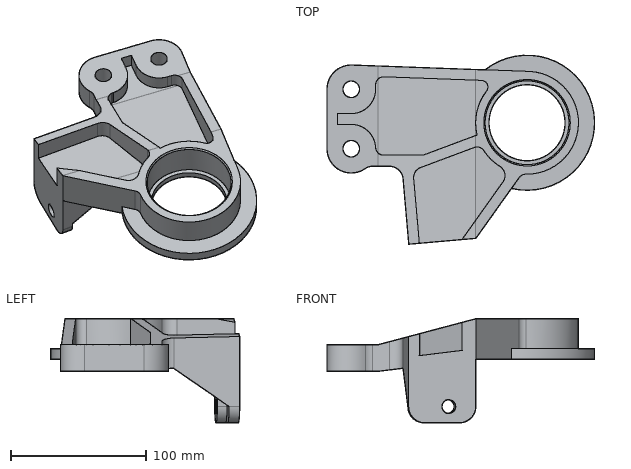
import cadquery as cq
import math

RING_TOP = 30.0
FLANGE_HEIGHT = 8.0
PAD_TOP = 10.9
PAD_BOTTOM = -9.0
LUG_BOTTOM = -47.0
WALL = 8.0

FLANGE_RADIUS = 100.0 / 2
RING_RADIUS = 38.0
BORE_DIAMETER = 62.0
LIP_DIAMETER = 56.0
LIP_HEIGHT = 5.0
BORE_CHAMFER = 1.0

PAD_RADIUS = 18.0
OVERALL_LENGTH = 198.0
PAD_X = FLANGE_RADIUS - OVERALL_LENGTH + PAD_RADIUS
UPPER_BOLT_Y = 24.7
LOWER_BOLT_Y = -19.2
BOLT_DIAMETER = 12.0
SLOT_LEFT = -140.1

SLOPE_START = -110.3
SLOPE_END = -38.0
ARM_BOTTOM_Y = -32.3
RIB_BEND = (-76.8, -24.0)
RIB_ANGLE = 20.5
BRACE_ANGLE = 54.6
PAD_BLEND = 9.0
LUG_BLEND = 9.9
POCKET_RADIUS = 6.0
LUG_POCKET_RADIUS = 8.0
RING_CORNER_RADIUS = 5.0

LUG_ANGLE = 5.0
LUG_CORNER = (-87.5, -89.9)
LUG_WIDTH = 49.9
LUG_THICKNESS = WALL
LUG_RADIUS = 12.0
LUG_AXIS_Z = LUG_BOTTOM + LUG_RADIUS
LUG_HOLE_DIAMETER = 10.0
LUG_HOLE_U = 29.9
BOSS_DEPTH = 15.0
GUSSET_ANGLE = 34.5

FAR = 198.0


def direction(angle):
    return (math.cos(math.radians(angle)), math.sin(math.radians(angle)))


def along(point, angle, distance):
    dx, dy = direction(angle)
    return (point[0] + distance * dx, point[1] + distance * dy)


def meet(p, p_angle, q, q_angle):
    """Crossing point of two lines, each given by a point and an angle."""
    px, py = direction(p_angle)
    qx, qy = direction(q_angle)
    distance = ((q[0] - p[0]) * qy - (q[1] - p[1]) * qx) / (px * qy - py * qx)
    return along(p, p_angle, distance)


def column(points):
    """Tall prism over a plan outline."""
    return cq.Workplane("XY").workplane(offset=-FAR / 2).polyline(points).close().extrude(FAR)


def post(x, y, radius):
    """Tall cylinder."""
    return cq.Workplane("XY").workplane(offset=-FAR / 2).center(x, y).circle(radius).extrude(FAR)


def round_corner(body, point, radius):
    """Fillet the vertical edge nearest to a plan point."""
    edge = cq.selectors.NearestToPointSelector((point[0], point[1], 0))
    return body.edges("|Z").edges(edge).fillet(radius)


def arm_band(lower, upper):
    """Band along the arm, from (pad z, ring z) below to (pad z, ring z) above."""
    points = [
        (-FAR, lower[0]), (SLOPE_START, lower[0]), (SLOPE_END, lower[1]), (FAR, lower[1]),
        (FAR, upper[1]), (SLOPE_END, upper[1]), (SLOPE_START, upper[0]), (-FAR, upper[0]),
    ]
    return cq.Workplane("XZ").polyline(points).close().extrude(FAR, both=True)


centre_distance = math.hypot(PAD_X, UPPER_BOLT_Y)
top_angle = math.degrees(
    math.asin((RING_RADIUS - PAD_RADIUS) / centre_distance) - math.atan2(UPPER_BOLT_Y, -PAD_X)
)
top_normal = top_angle + 90
top_left = along((PAD_X, UPPER_BOLT_Y), top_normal, PAD_RADIUS)
top_right = along((0, 0), top_normal, RING_RADIUS)

side_angle = LUG_ANGLE + 90
lug_right = along(LUG_CORNER, LUG_ANGLE, LUG_WIDTH)
lug_root = meet(LUG_CORNER, side_angle, (0, ARM_BOTTOM_Y), 0)
brace_reach = lug_right[0] * direction(BRACE_ANGLE)[0] + lug_right[1] * direction(BRACE_ANGLE)[1]
brace_foot = along(lug_right, BRACE_ANGLE, -brace_reach)
brace_offset = math.hypot(*brace_foot)
brace_end = along(brace_foot, BRACE_ANGLE, -math.sqrt(RING_RADIUS**2 - brace_offset**2))
pad_side = ARM_BOTTOM_Y - LOWER_BOLT_Y
pad_end = (PAD_X + math.sqrt(PAD_RADIUS**2 - pad_side**2), ARM_BOTTOM_Y)


def make_outline():
    body = column([
        top_left, top_right, (0, 0), brace_foot, lug_right, LUG_CORNER, lug_root,
        (PAD_X, ARM_BOTTOM_Y),
    ])
    pad_left = PAD_X - PAD_RADIUS
    body = body.union(column([
        (pad_left, LOWER_BOLT_Y), (pad_left, UPPER_BOLT_Y),
        (SLOPE_START, UPPER_BOLT_Y), (SLOPE_START, LOWER_BOLT_Y),
    ]))
    body = body.union(post(PAD_X, UPPER_BOLT_Y, PAD_RADIUS))
    body = body.union(post(PAD_X, LOWER_BOLT_Y, PAD_RADIUS))
    body = body.union(post(0, 0, RING_RADIUS))
    body = round_corner(body, pad_end, PAD_BLEND)
    body = round_corner(body, lug_root, LUG_BLEND)
    return round_corner(body, brace_end, POCKET_RADIUS)


def make_arm_pocket():
    """Pocket beside the pad, with a narrow slot between the two bolt bosses."""
    left = PAD_X + PAD_RADIUS
    wall_point = along(top_left, top_normal, -WALL)
    upper_left = meet(wall_point, top_angle, (left, 0), 90)
    upper_right = meet(wall_point, top_angle, (0, 0), 90)
    lower_left = (left, RIB_BEND[1])
    rib_right = meet(RIB_BEND, RIB_ANGLE, (0, 0), 90)
    pocket = column([upper_left, upper_right, rib_right, RIB_BEND, lower_left])
    pocket = pocket.cut(post(0, 0, RING_RADIUS))
    ring_corner_x = -math.sqrt(RING_RADIUS**2 - upper_right[1]**2)
    pocket = round_corner(pocket, upper_left, POCKET_RADIUS)
    pocket = round_corner(pocket, lower_left, POCKET_RADIUS)
    pocket = round_corner(pocket, (ring_corner_x, upper_right[1]), RING_CORNER_RADIUS)
    slot_top = UPPER_BOLT_Y - PAD_RADIUS
    slot_bottom = LOWER_BOLT_Y + PAD_RADIUS
    upper_middle = along((PAD_X, UPPER_BOLT_Y), -45, PAD_RADIUS)
    lower_middle = along((PAD_X, LOWER_BOLT_Y), 45, PAD_RADIUS)
    slot = (
        cq.Workplane("XY").workplane(offset=-FAR / 2)
        .moveTo(SLOT_LEFT, slot_top)
        .lineTo(PAD_X, slot_top)
        .threePointArc(upper_middle, (left, UPPER_BOLT_Y))
        .lineTo(left, LOWER_BOLT_Y)
        .threePointArc(lower_middle, (PAD_X, slot_bottom))
        .lineTo(SLOT_LEFT, slot_bottom)
        .close()
        .extrude(FAR)
    )
    return pocket.union(slot)


def make_lug_pocket():
    """Pocket above the lug, open through the lug's outer face."""
    side_point = along(LUG_CORNER, LUG_ANGLE, WALL)
    rib_point = along(RIB_BEND, RIB_ANGLE - 90, WALL)
    brace_point = along(lug_right, BRACE_ANGLE + 90, WALL)
    open_point = along(LUG_CORNER, side_angle, -WALL)
    upper_left = meet(side_point, side_angle, rib_point, RIB_ANGLE)
    upper_right = meet(rib_point, RIB_ANGLE, brace_point, BRACE_ANGLE)
    lower_right = meet(brace_point, BRACE_ANGLE, open_point, LUG_ANGLE)
    lower_left = meet(side_point, side_angle, open_point, LUG_ANGLE)
    pocket = column([upper_left, upper_right, lower_right, lower_left])
    pocket = pocket.cut(post(0, 0, RING_RADIUS))
    pocket = cq.Workplane(pocket.solids("<Y").val())
    pocket = round_corner(pocket, upper_left, LUG_POCKET_RADIUS)
    pocket = pocket.edges("|Z").edges(">X").fillet(LUG_POCKET_RADIUS)
    return pocket.edges("|Z").edges(">Y").fillet(POCKET_RADIUS)


def place_lug(body):
    """Move a body from the lug's u, v, z frame to the part frame."""
    return body.rotate((0, 0, 0), (0, 0, 1), LUG_ANGLE).translate((*LUG_CORNER, 0))


def make_gusset():
    """Wedge that carries the lug, with a sloping underside."""
    run = -LUG_AXIS_Z / math.tan(math.radians(GUSSET_ANGLE))
    heel_y = along(LUG_CORNER, side_angle, LUG_THICKNESS)[1]
    front_y = LUG_CORNER[1]
    points = [(front_y, 0), (heel_y + run, 0), (heel_y, LUG_AXIS_Z), (front_y, LUG_AXIS_Z)]
    wedge = cq.Workplane("YZ").polyline(points).close().extrude(FAR, both=True)
    lug_strip = place_lug(cq.Workplane("XY").box(LUG_WIDTH, FAR, FAR, centered=(False, False, True)))
    return wedge.intersect(lug_strip)


def make_lug():
    """Rounded plate with a boss behind its hole."""
    plate = cq.Workplane("XY").box(LUG_WIDTH, LUG_THICKNESS, -LUG_BOTTOM, centered=False)
    plate = plate.translate((0, 0, LUG_BOTTOM)).edges("|Y and <Z").fillet(LUG_RADIUS)
    boss_face = cq.Workplane("XZ", origin=(LUG_HOLE_U, 0, LUG_AXIS_Z))
    boss = boss_face.circle(LUG_RADIUS).extrude(-BOSS_DEPTH)
    stem_height = -LUG_AXIS_Z / 2
    stem = boss_face.center(0, stem_height / 2).rect(2 * LUG_RADIUS, stem_height).extrude(-BOSS_DEPTH)
    return place_lug(plate.union(boss).union(stem))


def make_lug_hole():
    hole = cq.Workplane("XZ", origin=(LUG_HOLE_U, 0, LUG_AXIS_Z))
    return place_lug(hole.circle(LUG_HOLE_DIAMETER / 2).extrude(-BOSS_DEPTH))


arm = arm_band((PAD_BOTTOM, 0), (PAD_TOP, RING_TOP)).union(make_gusset())
body = make_outline().intersect(arm)
body = body.union(cq.Workplane("XY").circle(FLANGE_RADIUS).extrude(FLANGE_HEIGHT))
body = body.union(make_lug())

above_floor = arm_band((PAD_BOTTOM + WALL, WALL), (FAR, FAR))
body = body.cut(make_arm_pocket().intersect(above_floor))
body = body.cut(make_lug_pocket().intersect(above_floor))

for bolt_y in (UPPER_BOLT_Y, LOWER_BOLT_Y):
    body = body.cut(post(PAD_X, bolt_y, BOLT_DIAMETER / 2))
body = body.cut(make_lug_hole())

bore = cq.Workplane("XY").workplane(offset=LIP_HEIGHT).circle(BORE_DIAMETER / 2)
body = body.cut(post(0, 0, LIP_DIAMETER / 2)).cut(bore.extrude(RING_TOP))
chamfer_cone = cq.Workplane("XY").workplane(offset=RING_TOP - BORE_CHAMFER).circle(BORE_DIAMETER / 2)
chamfer_cone = chamfer_cone.workplane(offset=BORE_CHAMFER).circle(BORE_DIAMETER / 2 + BORE_CHAMFER)
result = body.cut(chamfer_cone.loft())